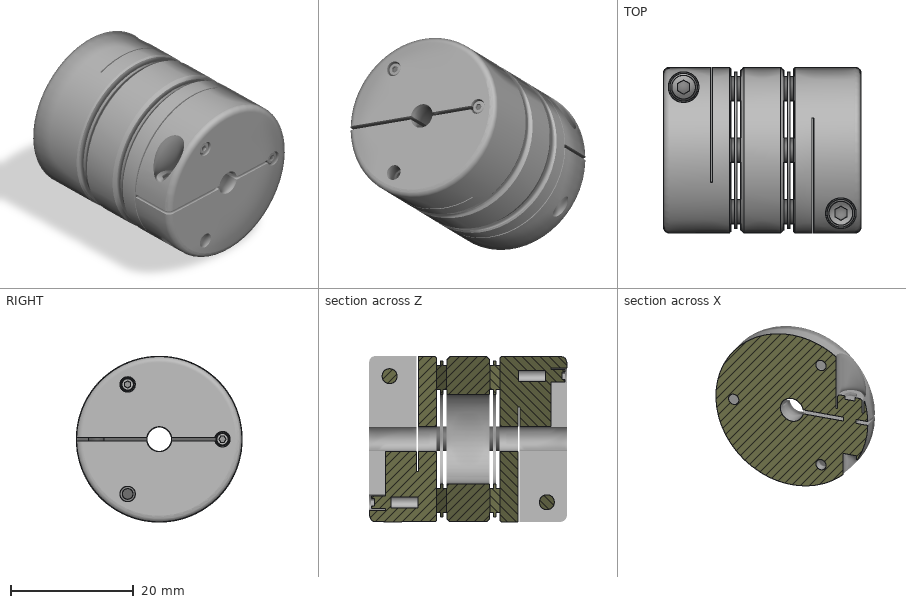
import cadquery as cq
import math


total_length = 32.2
outer_diameter = 27.0
spacer_width = 7.02
disc_gap = 1.6
disc_thickness = 0.42
hub_length = (total_length - spacer_width) / 2 - disc_gap
disc_x = spacer_width / 2 + disc_gap / 2

shaft_bore = 4.0
hub_face_fillet = 1.0
hub_inner_chamfer = 0.25
clamp_slit_width = 0.6
cross_slot_width = 0.25
cross_slot_depth_x = 7.85
cross_slot_end = 5.22
hub_outer_face = -total_length / 2
cross_slot_x = hub_outer_face + cross_slot_depth_x

clamp_x = hub_outer_face + 3.3
clamp_y = 10.27
clamp_counterbore = 5.0
clamp_head = 4.5
clamp_head_height = 2.5
clamp_head_chamfer = 0.32
clamp_seat_z = 1.77
clamp_shank = 2.5
clamp_shank_length = 8.0
clamp_socket = 2.0
clamp_socket_depth = 0.6

face_circle_radius = 10.3
face_counterbore = 2.5
face_counterbore_depth = 2.58
relief_slit_depth = face_counterbore_depth
face_hole = 1.75
face_head = 2.13
face_head_recess = 0.3
face_head_chamfer = 0.13
face_shank_length = 0.95
face_socket = 1.0
face_socket_depth = 0.48
face_hole_angles = [60, 180, 300]
face_screws = [(60, 30), (180, 0)]

disc_diameter = 25.5
disc_bush = 4.0
centre_opening = 14.5
bush_radius = 10.0
bush_radius_right_z = 10.27
spacer_chamfer = 0.5


def hexagon(plane, across_flats, depth):
    """Hexagonal prism whose corners start on the plane's local X direction."""
    return cq.Workplane(plane).polygon(6, across_flats / math.cos(math.pi / 6)).extrude(depth)


def cylinder_x(x_start, length, diameter, y=0, z=0):
    """Cylinder along +X from x_start, centred on (y, z)."""
    return cq.Workplane("YZ", origin=(x_start, y, z)).circle(diameter / 2).extrude(length)


def cylinder_z(z_start, height, diameter):
    """Cylinder along +Z from z_start, on the clamp bolt's axis."""
    return cq.Workplane("XY", origin=(clamp_x, clamp_y, z_start)).circle(diameter / 2).extrude(height)


def face_position(angle):
    """(y, z) of a place on the circle of face holes."""
    turn = math.radians(angle)
    return face_circle_radius * math.cos(turn), face_circle_radius * math.sin(turn)


def hub_blank():
    blank = cylinder_x(hub_outer_face, hub_length, outer_diameter)
    blank = blank.faces("<X").edges().fillet(hub_face_fillet)
    blank = blank.faces(">X").edges().chamfer(hub_inner_chamfer)
    return blank.cut(cylinder_x(hub_outer_face, hub_length, shaft_bore))


def block(x_range, y_range, height):
    """Box between two X and two Y values, centred on Z = 0."""
    length = x_range[1] - x_range[0]
    width = y_range[1] - y_range[0]
    middle = ((x_range[0] + x_range[1]) / 2, (y_range[0] + y_range[1]) / 2, 0)
    return cq.Workplane("XY").box(length, width, height).translate(middle)


def hub_slots():
    """Cross slot, clamp slit from bore to rim, and shallow relief slit on the bore's other side."""
    outer_radius = outer_diameter / 2
    cross_slot_start = cross_slot_x - cross_slot_width / 2
    cross_slot_range = (cross_slot_start, cross_slot_start + cross_slot_width)
    cross_slot = block(cross_slot_range, (-cross_slot_end, outer_radius), outer_diameter)
    clamp_slit = block((hub_outer_face, cross_slot_x), (0, outer_radius), clamp_slit_width)
    relief_end = hub_outer_face + relief_slit_depth
    relief_slit = block((hub_outer_face, relief_end), (-face_circle_radius, 0), clamp_slit_width)
    return cross_slot.union(clamp_slit).union(relief_slit)


def stepped_face_hole(angle):
    """Counterbored hole from the outer face to the cross slot's plane."""
    y, z = face_position(angle)
    counterbore = cylinder_x(hub_outer_face, face_counterbore_depth, face_counterbore, y, z)
    return counterbore.union(cylinder_x(hub_outer_face, cross_slot_depth_x, face_hole, y, z))


def face_screw(angle, socket_turn):
    y, z = face_position(angle)
    turn = math.radians(socket_turn)
    head_x = hub_outer_face + face_head_recess
    head_length = face_counterbore_depth - face_head_recess
    head = cylinder_x(head_x, head_length, face_head, y, z)
    head = head.faces("<X").edges().chamfer(face_head_chamfer)
    shank = cylinder_x(head_x + head_length, face_shank_length, face_hole, y, z)
    corner_direction = (0, math.cos(turn), math.sin(turn))
    socket_plane = cq.Plane(origin=(head_x, y, z), xDir=corner_direction, normal=(1, 0, 0))
    return head.union(shank).cut(hexagon(socket_plane, face_socket, face_socket_depth))


def clamp_bolt_holes():
    """Counterbore from above, and the bolt's hole down through the rim."""
    counterbore = cylinder_z(clamp_seat_z, outer_diameter / 2, clamp_counterbore)
    return counterbore.union(cylinder_z(-outer_diameter / 2, outer_diameter / 2 + clamp_seat_z, clamp_shank))


def clamp_bolt():
    head = cylinder_z(clamp_seat_z, clamp_head_height, clamp_head)
    head = head.faces(">Z").edges().chamfer(clamp_head_chamfer)
    shank = cylinder_z(clamp_seat_z - clamp_shank_length, clamp_shank_length, clamp_shank)
    socket_z = clamp_seat_z + clamp_head_height - clamp_socket_depth
    socket_plane = cq.Plane(origin=(clamp_x, clamp_y, socket_z), xDir=(0, 1, 0), normal=(0, 0, 1))
    return head.union(shank).cut(hexagon(socket_plane, clamp_socket, clamp_socket_depth))


def clamp_hub():
    """Hub at the -X end with its screws in place."""
    hub = hub_blank().cut(hub_slots()).cut(clamp_bolt_holes())
    for angle in face_hole_angles:
        hub = hub.cut(stepped_face_hole(angle))
    for angle, socket_turn in face_screws:
        hub = hub.union(face_screw(angle, socket_turn))
    return hub.union(clamp_bolt())


def flexible_disc(x_middle, radius_z):
    """Thin ring with four bushes that fill the gap between hub and spacer."""
    disc = cylinder_x(x_middle - disc_thickness / 2, disc_thickness, disc_diameter)
    for side in (-1, 1):
        for y, z in ((side * bush_radius, 0), (0, side * radius_z)):
            disc = disc.union(cylinder_x(x_middle - disc_gap / 2, disc_gap, disc_bush, y, z))
    return disc.cut(cylinder_x(x_middle - disc_gap / 2, disc_gap, centre_opening))


def centre_spacer():
    spacer = cylinder_x(-spacer_width / 2, spacer_width, outer_diameter)
    spacer = spacer.edges().chamfer(spacer_chamfer)
    return spacer.cut(cylinder_x(-spacer_width / 2, spacer_width, centre_opening))


hubs = [clamp_hub().rotate((0, 0, 0), (0, 0, 1), turn) for turn in (0, 180)]
discs = [flexible_disc(-disc_x, bush_radius), flexible_disc(disc_x, bush_radius_right_z)]
spacer = centre_spacer()

bodies = [*hubs, *discs, spacer]
result = cq.Compound.makeCompound([body.val() for body in bodies])